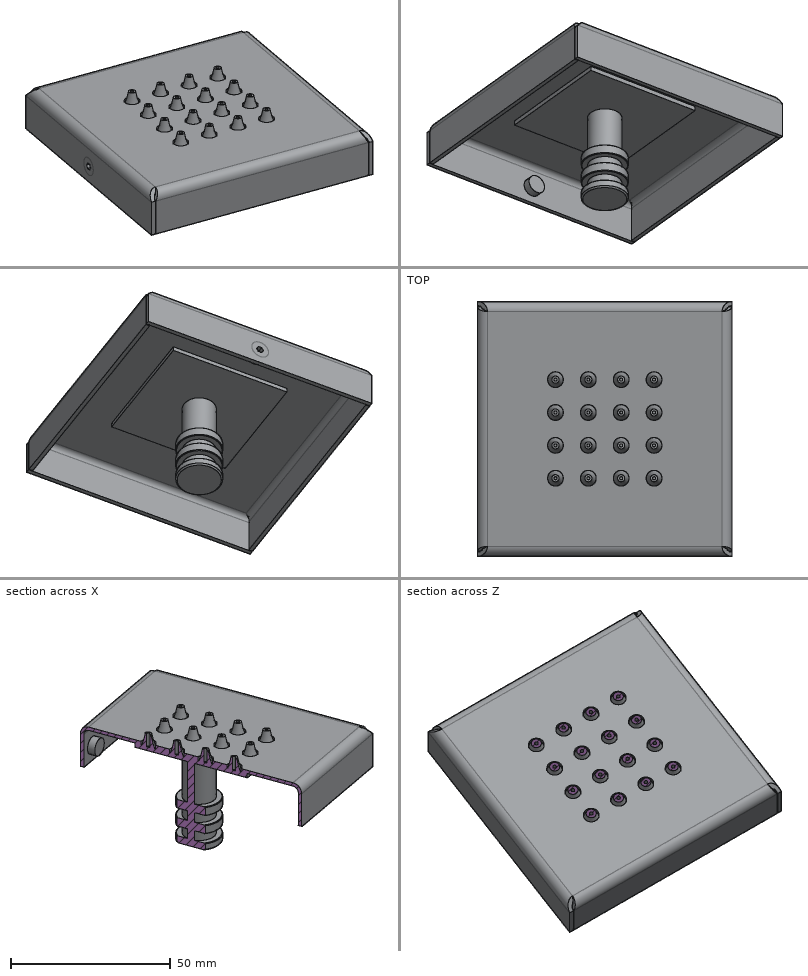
import cadquery as cq
import math

length_x = 80.0
length_y = 80.1
cover_height = 15.0
sheet = 1.4
bend_radius = 3.1
wall_gap = 0.25

nozzle_count = 4
nozzle_pitch = 10.3
nozzle_height = 3.4
nozzle_tip_diameter = 2.25
nozzle_waist_diameter = 3.2
nozzle_waist_height = 1.2
nozzle_base_diameter = 4.9
nozzle_bore_diameter = 1.0
nozzle_hole_diameter = 5.0
mat_thickness = 1.5
mat_margin = 4.8

stem_length = 17.95
stem_diameter = 10.8
collar_diameter = 14.8
collar_count = 3
collar_height = 3.2
collar_pitch = 6.5
first_collar_depth = 2.3
collar_chamfer = 0.25
stem_end_chamfer = 0.5

screw_diameter = 6.0
socket_across_flats = 2.0
screw_height = 5.5
screw_length = 4.0
socket_depth = 1.6

half_x = length_x / 2
half_y = length_y / 2
plate_bottom = cover_height - sheet
bend_start = cover_height - bend_radius
mat_bottom = plate_bottom - mat_thickness


def bent_profile(plane, half_width, run):
    """Inverted U of sheet with rounded bends, extruded both ways from the plane."""
    inner = half_width - sheet
    inner_radius = bend_radius - sheet
    flat = half_width - bend_radius
    return (
        cq.Workplane(plane)
        .moveTo(-half_width, 0)
        .lineTo(-half_width, bend_start)
        .radiusArc((-flat, cover_height), bend_radius)
        .lineTo(flat, cover_height)
        .radiusArc((half_width, bend_start), bend_radius)
        .lineTo(half_width, 0)
        .lineTo(inner, 0)
        .lineTo(inner, bend_start)
        .radiusArc((flat, plate_bottom), -inner_radius)
        .lineTo(-flat, plate_bottom)
        .radiusArc((-inner, bend_start), -inner_radius)
        .lineTo(-inner, 0)
        .close()
        .extrude(run, both=True)
    )


def end_outline(plane, half_width, wall_half_width, run):
    """Prism that trims the walls to their width and slants the bend ends up to the plate corners."""
    top = half_width - bend_radius
    right_side = [
        (top, cover_height),
        (wall_half_width, bend_start),
        (wall_half_width, 0),
    ]
    left_side = [(-u, z) for u, z in reversed(right_side)]
    return cq.Workplane(plane).polyline(right_side + left_side).close().extrude(run, both=True)


def make_cover():
    """Side walls fit between the end walls, leaving a narrow gap at each corner."""
    side_wall_half_width = half_y - sheet - wall_gap
    side_walls = bent_profile("XZ", half_x, half_y).intersect(
        end_outline("YZ", half_y, side_wall_half_width, half_x))
    end_walls = bent_profile("YZ", half_y, half_x).intersect(
        end_outline("XZ", half_x, half_x, half_y))
    return side_walls.union(end_walls)


def nozzle_grid(z):
    return cq.Workplane("XY", origin=(0, 0, z)).rarray(
        nozzle_pitch, nozzle_pitch, nozzle_count, nozzle_count)


def make_nozzle():
    """Spike with a slightly hollow flare, standing on the mat."""
    tip = cover_height + nozzle_height
    waist = (nozzle_waist_diameter / 2, cover_height + nozzle_waist_height)
    return (
        cq.Workplane("XZ")
        .moveTo(0, plate_bottom)
        .lineTo(nozzle_base_diameter / 2, plate_bottom)
        .threePointArc(waist, (nozzle_tip_diameter / 2, tip))
        .lineTo(0, tip)
        .close()
        .revolve(360, (0, 0), (0, 1))
    )


def make_stem():
    stem = (
        cq.Workplane("XY", origin=(0, 0, -stem_length))
        .circle(stem_diameter / 2)
        .extrude(stem_length + mat_bottom)
    )
    for i in range(collar_count):
        top = -first_collar_depth - i * collar_pitch
        bottom = max(top - collar_height, -stem_length)
        bottom_chamfer = stem_end_chamfer if i == collar_count - 1 else collar_chamfer
        collar = (
            cq.Workplane("XY", origin=(0, 0, bottom))
            .circle(collar_diameter / 2)
            .extrude(top - bottom)
            .faces(">Z").edges().chamfer(collar_chamfer)
            .faces("<Z").edges().chamfer(bottom_chamfer)
        )
        stem = stem.union(collar)
    return stem


cover = make_cover().cut(nozzle_grid(mat_bottom).circle(nozzle_hole_diameter / 2).extrude(cover_height))

mat_side = (nozzle_count - 1) * nozzle_pitch + 2 * mat_margin
mat = cq.Workplane("XY", origin=(0, 0, mat_bottom)).rect(mat_side, mat_side).extrude(mat_thickness)
nozzle = make_nozzle().val()
nozzles = nozzle_grid(0).eachpoint(lambda place: nozzle.moved(place), combine=False)
bores = nozzle_grid(plate_bottom).circle(nozzle_bore_diameter / 2).extrude(cover_height)

front = cq.Workplane("XZ", origin=(0, -half_y, screw_height))
screw = front.circle(screw_diameter / 2).extrude(-screw_length)
socket = front.polygon(6, socket_across_flats / math.cos(math.pi / 6)).extrude(-socket_depth)

result = cover.union(mat).union(nozzles).cut(bores).union(make_stem())
result = result.cut(screw).union(screw, clean=False).cut(socket, clean=False)